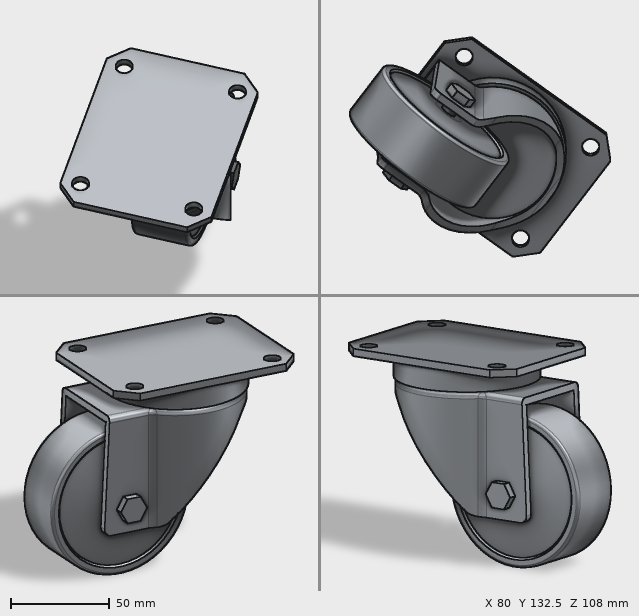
import cadquery as cq
import math


plate_width = 80.0
plate_length = 105.0
plate_thickness = 4.0
plate_corner = 10.0
bolt_hole_diameter = 8.7
bolt_pitch_x = 60.0
bolt_pitch_y = 80.0

ring_radius = 37.5
ring_round = 3.0
ring_round_start = 1.2
ring_height = 12.0
bearing_gap = 0.5

sheet = 4.0
fork_radius = 36.6
fork_edge_round = 3.0
leg_outer_x = 24.8
leg_blend = 6.0
lip_height = 6.6
leg_end_y_top = 51.7
leg_end_y_bottom = 54.9
leg_reach_y = 59.6
leg_corner_round = 4.0
fork_toe_y = 23.0
fork_toe_round = 10.0
fork_throat_y = -25.8
fork_throat_round = 16.5

wheel_radius = 40.0
wheel_width = 30.0
tread_round = 1.5
rim_inner_radius = 35.9
disc_radius = 34.8
disc_edge_x = 13.8
hub_face_x = 16.3
hub_face_radius = 8.0
axle_diameter = 8.0
axle_y = 40.0
axle_z = -68.0
leg_below_axle = 13.5

bolt_across_flats = 13.2
bolt_head_height = 4.5

ring_bottom_z = -plate_thickness - ring_height
fork_top_z = ring_bottom_z - bearing_gap
lip_bottom_z = fork_top_z - lip_height
leg_bottom_z = axle_z - leg_below_axle


def make_plate():
    plate = cq.Workplane("XY").rect(plate_width, plate_length).extrude(-plate_thickness)
    plate = plate.edges("|Z").chamfer(plate_corner)
    holes = (
        cq.Workplane("XY")
        .rect(bolt_pitch_x, bolt_pitch_y, forConstruction=True)
        .vertices()
        .circle(bolt_hole_diameter / 2)
        .extrude(-plate_thickness)
    )
    return plate.cut(holes)


def make_ring():
    ring_top_z = -plate_thickness - ring_round_start + ring_round
    ring = (
        cq.Workplane("XY", origin=(0, 0, ring_bottom_z))
        .circle(ring_radius)
        .extrude(ring_top_z - ring_bottom_z)
        .faces(">Z")
        .edges()
        .fillet(ring_round)
    )
    pivot = (
        cq.Workplane("XY", origin=(0, 0, fork_top_z))
        .circle(fork_radius - fork_edge_round)
        .extrude(bearing_gap)
    )
    return ring.union(pivot)


def fork_plan(inset, top_z):
    """Solid of the fork's plan shape, moved inwards by inset, from top_z down to the leg ends."""
    radius = fork_radius - inset
    leg_x = leg_outer_x - inset
    height = top_z - leg_bottom_z
    front = cq.Workplane("XY", origin=(0, 0, leg_bottom_z)).circle(radius).extrude(height)
    legs = (
        cq.Workplane("XY", origin=(0, leg_reach_y / 2, leg_bottom_z))
        .rect(2 * leg_x, leg_reach_y)
        .extrude(height)
    )
    return front.union(legs)


def blend_corners(body, inset):
    """Round the two upright inside corners where the flat legs leave the round front."""
    corner_x = leg_outer_x - inset
    corner_y = math.sqrt((fork_radius - inset) ** 2 - corner_x**2)
    middle_z = (fork_top_z + leg_bottom_z) / 2
    for side in (-1, 1):
        corner = cq.selectors.NearestToPointSelector((side * corner_x, corner_y, middle_z))
        body = body.edges("|Z").edges(corner).fillet(leg_blend + inset)
    return body


def fork_side_outline():
    """Side outline of the fork, extruded across its full width."""
    front_y = -fork_radius - sheet
    outline = (
        cq.Workplane("YZ", origin=(-fork_radius, 0, 0))
        .moveTo(front_y, fork_top_z)
        .lineTo(front_y, lip_bottom_z)
        .lineTo(fork_throat_y, lip_bottom_z)
        .lineTo(fork_toe_y, leg_bottom_z)
        .lineTo(leg_end_y_bottom, leg_bottom_z)
        .lineTo(leg_end_y_top, fork_top_z)
        .close()
        .extrude(2 * fork_radius)
    )

    def edge_at(y, z):
        return cq.selectors.NearestToPointSelector((0, y, z))

    outline = outline.edges("|X").edges(edge_at(fork_throat_y, lip_bottom_z)).fillet(fork_throat_round)
    outline = outline.edges("|X").edges(edge_at(fork_toe_y, leg_bottom_z)).fillet(fork_toe_round)
    return outline.edges("|X").edges(edge_at(leg_end_y_bottom, leg_bottom_z)).fillet(leg_corner_round)


def make_fork():
    body = fork_plan(0, fork_top_z)
    body = body.faces(">Z").edges("not >Y").fillet(fork_edge_round)
    body = blend_corners(body, 0)
    hollow = blend_corners(fork_plan(sheet, fork_top_z - sheet), sheet)
    return body.cut(hollow).intersect(fork_side_outline())


def make_wheel():
    """Wheel with rounded tread edges and slightly coned side discs around flat hub faces."""
    half_width = wheel_width / 2
    wheel = (
        cq.Workplane("XY", origin=(0, axle_y, axle_z))
        .moveTo(-hub_face_x, 0)
        .lineTo(-hub_face_x, hub_face_radius)
        .lineTo(-disc_edge_x, disc_radius)
        .lineTo(-half_width, rim_inner_radius)
        .lineTo(-half_width, wheel_radius)
        .lineTo(half_width, wheel_radius)
        .lineTo(half_width, rim_inner_radius)
        .lineTo(disc_edge_x, disc_radius)
        .lineTo(hub_face_x, hub_face_radius)
        .lineTo(hub_face_x, 0)
        .close()
        .revolve(360, (0, 0, 0), (1, 0, 0))
    )
    return wheel.faces("%CYLINDER").edges("%CIRCLE").fillet(tread_round)


def make_axle():
    bolt_end_x = leg_outer_x + bolt_head_height
    across_corners = bolt_across_flats / math.cos(math.pi / 6)
    axle = (
        cq.Workplane("YZ", origin=(0, axle_y, axle_z))
        .circle(axle_diameter / 2)
        .extrude(leg_outer_x, both=True)
    )
    for start_x in (-bolt_end_x, leg_outer_x):
        head = (
            cq.Workplane("YZ", origin=(start_x, axle_y, axle_z))
            .polygon(6, across_corners)
            .extrude(bolt_head_height)
        )
        axle = axle.union(head)
    return axle


result = make_plate().union(make_ring()).union(make_fork()).union(make_axle()).union(make_wheel())